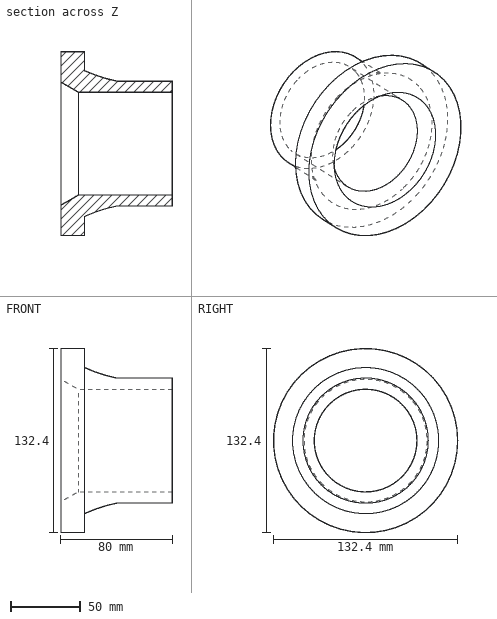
import cadquery as cq
import math

total_length = 80.0
flange_thickness = 17.0
transition_length = 23.0
neck_start = flange_thickness + transition_length

flange_diameter = 132.4
transition_diameter = 105.0
neck_diameter = 90.0

bore_diameter = 73.6
entry_diameter = 88.2
entry_half_angle = 30.0
entry_depth = (entry_diameter - bore_diameter) / 2 / math.tan(math.radians(entry_half_angle))

transition_sag = 0.7


def transition_midpoint():
    """Middle point (x, radius) of the concave arc between flange and neck."""
    middle_x = flange_thickness + transition_length / 2
    mean_radius = (transition_diameter + neck_diameter) / 4
    return middle_x, mean_radius - transition_sag


def outer_body():
    """Flange, concave transition and cylindrical neck as one revolved solid."""
    profile = (
        cq.Workplane("XY")
        .moveTo(0, 0)
        .lineTo(0, flange_diameter / 2)
        .lineTo(flange_thickness, flange_diameter / 2)
        .lineTo(flange_thickness, transition_diameter / 2)
        .threePointArc(transition_midpoint(), (neck_start, neck_diameter / 2))
        .lineTo(total_length, neck_diameter / 2)
        .lineTo(total_length, 0)
        .close()
    )
    return profile.revolve(360, (0, 0, 0), (1, 0, 0))


def bore():
    """Through bore with its tapered entry."""
    profile = (
        cq.Workplane("XY")
        .moveTo(0, 0)
        .lineTo(0, entry_diameter / 2)
        .lineTo(entry_depth, bore_diameter / 2)
        .lineTo(total_length, bore_diameter / 2)
        .lineTo(total_length, 0)
        .close()
    )
    return profile.revolve(360, (0, 0, 0), (1, 0, 0))


result = outer_body().cut(bore())